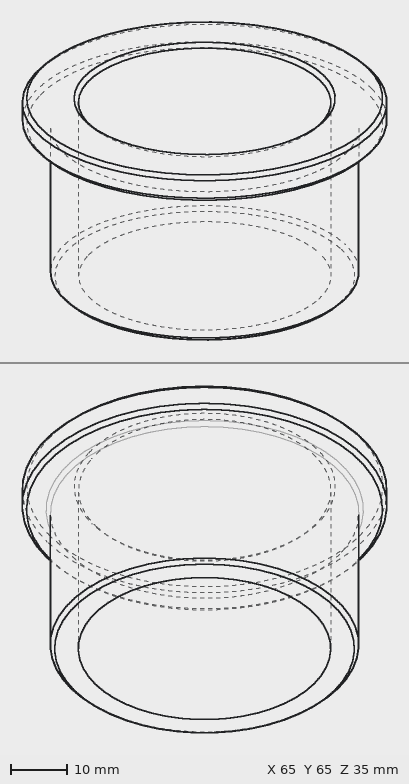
import cadquery as cq
import math

flange_diameter = 65.0
body_diameter = 55.0
bore_diameter = 45.0
total_height = 35.0
flange_thickness = 5.0
edge_chamfer = 0.8
neck_fillet = 0.8

flange_radius = flange_diameter / 2
body_radius = body_diameter / 2
bore_radius = bore_diameter / 2
flange_underside = total_height - flange_thickness
fillet_center_radius = body_radius + neck_fillet
fillet_center_height = flange_underside - neck_fillet
fillet_midpoint_offset = neck_fillet * math.sqrt(0.5)

section = (
    cq.Workplane("XZ")
    .moveTo(bore_radius, 0)
    .lineTo(body_radius - edge_chamfer, 0)
    .lineTo(body_radius, edge_chamfer)
    .lineTo(body_radius, fillet_center_height)
    .threePointArc(
        (fillet_center_radius - fillet_midpoint_offset, fillet_center_height + fillet_midpoint_offset),
        (fillet_center_radius, flange_underside),
    )
    .lineTo(flange_radius - edge_chamfer, flange_underside)
    .lineTo(flange_radius, flange_underside + edge_chamfer)
    .lineTo(flange_radius, total_height - edge_chamfer)
    .lineTo(flange_radius - edge_chamfer, total_height)
    .lineTo(bore_radius + edge_chamfer, total_height)
    .lineTo(bore_radius, total_height - edge_chamfer)
    .close()
)

result = section.revolve(360, (0, 0, 0), (0, 1, 0))